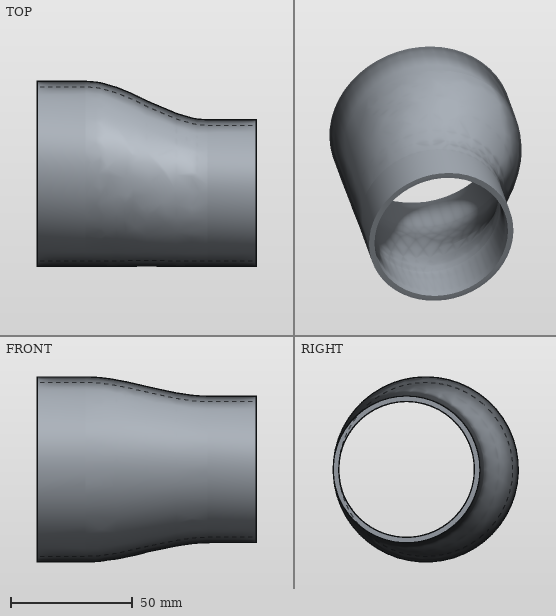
import cadquery as cq

length = 90.0
large_diameter = 76.1
small_diameter = 60.3
large_bore = 71.5
small_bore = 55.7
end_length = 20.0
transition_steps = 10

transition_length = length - 2 * end_length
small_end_offset = -(large_diameter - small_diameter) / 2


def smooth_step(t):
    """Cubic S-curve from 0 to 1 that is level at both ends."""
    return t * t * (3 - 2 * t)


def circle_wire(x, y, diameter):
    """Circle across the pipe axis, centred at (x, y, 0)."""
    return cq.Wire.makeCircle(diameter / 2, cq.Vector(x, y, 0), cq.Vector(1, 0, 0))


def collar(x, y, diameter):
    """Straight collar that starts at x and runs toward +X."""
    return cq.Solid.makeCylinder(diameter / 2, end_length, cq.Vector(x, y, 0), cq.Vector(1, 0, 0))


def transition(start_diameter, end_diameter):
    """Smooth taper whose axis shifts toward -Y as its diameter shrinks."""
    sections = []
    for step in range(transition_steps + 1):
        t = step / transition_steps
        blend = smooth_step(t)
        x = end_length + t * transition_length
        diameter = start_diameter + blend * (end_diameter - start_diameter)
        sections.append(circle_wire(x, blend * small_end_offset, diameter))
    return cq.Solid.makeLoft(sections)


def reducer_body(start_diameter, end_diameter):
    """Solid reducer: large collar, taper and small collar joined together."""
    large_collar = collar(0, 0, start_diameter)
    small_collar = collar(length - end_length, small_end_offset, end_diameter)
    taper = transition(start_diameter, end_diameter)
    return cq.Workplane(obj=large_collar).union(taper).union(small_collar)


outer_body = reducer_body(large_diameter, small_diameter)
inner_bore = reducer_body(large_bore, small_bore)
result = outer_body.cut(inner_bore)